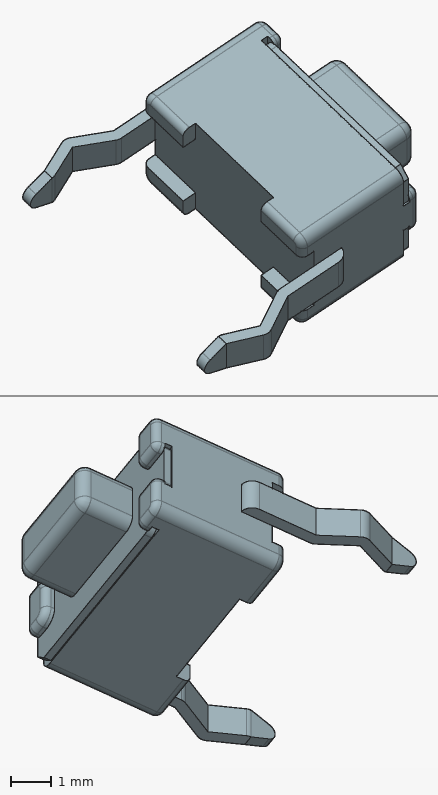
import math
import cadquery as cq


HOUSING_X = 6.1
HOUSING_Z = 3.5
HOUSING_TOP = 3.3
CORNER_RADIUS = 0.3
END_RADIUS = 0.2
FILLET_EASE = 0.001
FOOT_HEIGHT = 0.4
FOOT_GAP_X = 3.0
FOOT_GAP_Z = 2.2

PLATE_X = 6.0
PLATE_Z = 3.4
PLATE_THICKNESS = 0.2
PLATE_TOP = HOUSING_TOP + PLATE_THICKNESS
PLATE_CHAMFER = 0.3
NECK_CORNER_RADIUS = 0.35
TONGUE_CORNER_RADIUS = 0.12

HEAD_HEIGHT = 0.3
HEAD_RADIUS = 0.2
CORNER_POST_INNER_X = -2.42
CORNER_POST_INNER_Z = 0.75
CORNER_HEAD_INNER_X = -2.15
CORNER_HEAD_INNER_Z = 0.53
SIDE_POST_INNER_X = 2.45
SIDE_POST_Z = 1.0
SIDE_HEAD_INNER_X = 2.2
SIDE_HEAD_Z = 1.5
SIDE_HEAD_INNER_RADIUS = 0.38

BUTTON_X = 3.0
BUTTON_Z = 1.55
BUTTON_TOP = 5.0
BUTTON_RADIUS = 0.3

PIN_THICKNESS = 0.3
PIN_WIDTH = 1.0
PIN_TOP = 1.3
PIN_TOP_RADIUS = 0.35
PIN_KINK_Y = -0.69
PIN_ELBOW_X = 3.61
PIN_ELBOW_Y = -1.8
PIN_TIP_INNER_X = 3.2
PIN_TAPER_Y = -2.8
PIN_TIP_Y = -3.5
PIN_TIP_ARC_Y = -3.32
PIN_TIP_ARC_HALF_WIDTH = 0.27

HALF_X = HOUSING_X / 2
HALF_Z = HOUSING_Z / 2


def block(x_range, y_range, z_range):
    """Box spanning the given ranges along each axis."""
    sizes = [high - low for low, high in (x_range, y_range, z_range)]
    corner = (x_range[0], y_range[0], z_range[0])
    return cq.Workplane("XY").box(*sizes, centered=False).translate(corner)


def centred(size):
    return (-size / 2, size / 2)


def make_housing():
    housing = block(centred(HOUSING_X), (0, HOUSING_TOP), centred(HOUSING_Z))
    housing = housing.edges("|Y").fillet(CORNER_RADIUS)
    housing = housing.faces("<Y").edges().fillet(END_RADIUS)
    foot_range = (0, FOOT_HEIGHT)
    housing = housing.cut(block(centred(FOOT_GAP_X), foot_range, centred(HOUSING_Z)))
    return housing.cut(block(centred(HOUSING_X), foot_range, centred(FOOT_GAP_Z)))


def make_plate():
    """Plate with a tongue at -X between the corner posts and a notch at +X round the side post."""
    y_range = (HOUSING_TOP, PLATE_TOP)
    main = block((CORNER_POST_INNER_X, PLATE_X / 2), y_range, centred(PLATE_Z))
    main = main.edges("|Y and <X").fillet(NECK_CORNER_RADIUS)
    main = main.edges("|Y and >X").chamfer(PLATE_CHAMFER)
    tongue = block((-PLATE_X / 2, 0), y_range, centred(2 * CORNER_POST_INNER_Z))
    tongue = tongue.edges("|Y and <X").fillet(TONGUE_CORNER_RADIUS)
    notch = block((SIDE_POST_INNER_X, HALF_X), y_range, centred(SIDE_POST_Z))
    return main.union(tongue).cut(notch)


def make_corner_post():
    """Post and head at the -X, +Z corner."""
    post = block(
        (-HALF_X, CORNER_POST_INNER_X), (HOUSING_TOP, PLATE_TOP), (CORNER_POST_INNER_Z, HALF_Z)
    )
    post = post.edges("|Y and <X and >Z").fillet(CORNER_RADIUS)
    head = block(
        (-HALF_X, CORNER_HEAD_INNER_X),
        (PLATE_TOP, PLATE_TOP + HEAD_HEIGHT),
        (CORNER_HEAD_INNER_Z, HALF_Z),
    )
    head = head.edges("|Y and <X and >Z").fillet(CORNER_RADIUS)
    head = head.edges("|Y and (>X or <Z)").fillet(HEAD_RADIUS)
    head = head.faces(">Y").edges().fillet(HEAD_RADIUS - FILLET_EASE)
    return post.union(head)


def make_side_post():
    """Post and head at the middle of the +X side."""
    post = block((SIDE_POST_INNER_X, HALF_X), (HOUSING_TOP, PLATE_TOP), centred(SIDE_POST_Z))
    head = block(
        (SIDE_HEAD_INNER_X, HALF_X), (PLATE_TOP, PLATE_TOP + HEAD_HEIGHT), centred(SIDE_HEAD_Z)
    )
    head = head.edges("|Y and <X").fillet(SIDE_HEAD_INNER_RADIUS)
    head = head.edges("|Y and >X").fillet(HEAD_RADIUS)
    head = head.faces(">Y").edges().fillet(HEAD_RADIUS - FILLET_EASE)
    return post.union(head)


def make_button():
    button = block(centred(BUTTON_X), (PLATE_TOP, BUTTON_TOP), centred(BUTTON_Z))
    button = button.edges("|Y").fillet(BUTTON_RADIUS)
    return button.faces(">Y").edges().fillet(BUTTON_RADIUS - FILLET_EASE)


def bend_point(centre, angle):
    """Point one pin thickness from the sharp side of a bend."""
    return (
        centre[0] + PIN_THICKNESS * math.cos(angle),
        centre[1] + PIN_THICKNESS * math.sin(angle),
    )


def strip_lean(bend, elbow):
    """Angle from the Y axis of the strip between a bend and the elbow, sharp on opposite sides."""
    run_x = elbow[0] - bend[0]
    run_y = abs(elbow[1] - bend[1])
    return math.atan2(run_x, run_y) + math.asin(PIN_THICKNESS / math.hypot(run_x, run_y))


def make_pin():
    """Pin on the +X side: a bent strip whose free end tapers to a round tip."""
    outer_x = HALF_X + PIN_THICKNESS
    tip_outer_x = PIN_TIP_INNER_X + PIN_THICKNESS
    bend_x = outer_x - PIN_TOP_RADIUS
    kink = (outer_x, PIN_KINK_Y)
    elbow = (PIN_ELBOW_X, PIN_ELBOW_Y)
    taper = (tip_outer_x, PIN_TAPER_Y)
    upper_lean = strip_lean(kink, elbow)
    lower_lean = strip_lean(taper, elbow)

    strip = (
        cq.Workplane("XY")
        .workplane(offset=-PIN_WIDTH / 2)
        .moveTo(bend_x, PIN_TOP)
        .radiusArc((outer_x, PIN_TOP - PIN_TOP_RADIUS), PIN_TOP_RADIUS)
        .lineTo(*kink)
        .lineTo(*bend_point(elbow, upper_lean))
        .threePointArc(bend_point(elbow, 0), bend_point(elbow, -lower_lean))
        .lineTo(*taper)
        .lineTo(tip_outer_x, PIN_TIP_Y)
        .lineTo(PIN_TIP_INNER_X, PIN_TIP_Y)
        .lineTo(*bend_point(taper, math.pi))
        .threePointArc(
            bend_point(taper, math.pi - lower_lean / 2), bend_point(taper, math.pi - lower_lean)
        )
        .lineTo(*elbow)
        .lineTo(*bend_point(kink, math.pi + upper_lean))
        .threePointArc(bend_point(kink, math.pi + upper_lean / 2), bend_point(kink, math.pi))
        .lineTo(HALF_X, PIN_TOP - PIN_TOP_RADIUS)
        .lineTo(bend_x, PIN_TOP - PIN_TOP_RADIUS)
        .close()
        .extrude(PIN_WIDTH)
    )
    half_width = PIN_WIDTH / 2
    width_outline = (
        cq.Workplane("YZ")
        .moveTo(PIN_TOP, half_width)
        .lineTo(PIN_TAPER_Y, half_width)
        .lineTo(PIN_TIP_ARC_Y, PIN_TIP_ARC_HALF_WIDTH)
        .threePointArc((PIN_TIP_Y, 0), (PIN_TIP_ARC_Y, -PIN_TIP_ARC_HALF_WIDTH))
        .lineTo(PIN_TAPER_Y, -half_width)
        .lineTo(PIN_TOP, -half_width)
        .close()
        .extrude(PIN_ELBOW_X + PIN_THICKNESS)
    )
    return strip.intersect(width_outline)


corner_post = make_corner_post()
pin = make_pin()

result = (
    make_housing()
    .union(make_plate())
    .union(corner_post)
    .union(corner_post.mirror("XY"))
    .union(make_side_post())
    .union(make_button())
    .union(pin)
    .union(pin.mirror("YZ"))
)